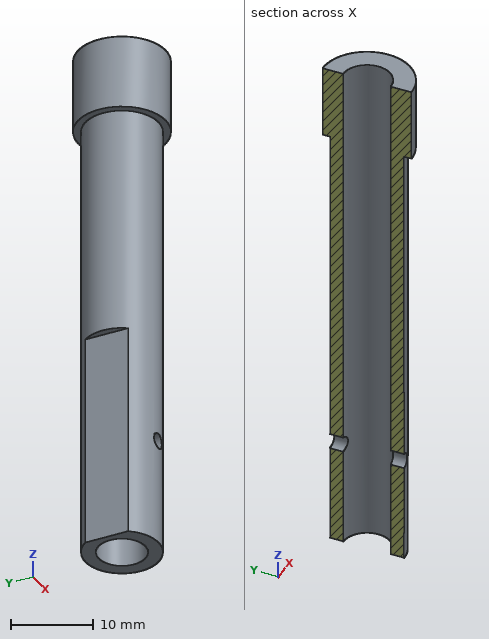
import cadquery as cq

total_length = 70.0
head_diameter = 12.0
head_length = 10.0
shank_diameter = 10.0
bore_diameter = 6.4
flat_length = 29.0
flat_offset = 4.05
pin_hole_diameter = 2.0
pin_hole_height = flat_length / 2


def make_body():
    """Round shank with a larger head at the top."""
    shank = cq.Workplane("XY").circle(shank_diameter / 2).extrude(total_length)
    head = (
        cq.Workplane("XY")
        .workplane(offset=total_length - head_length)
        .circle(head_diameter / 2)
        .extrude(head_length)
    )
    return shank.union(head)


def make_bore():
    """Axial bore through the full length."""
    return cq.Workplane("XY").circle(bore_diameter / 2).extrude(total_length)


def make_flat_cutter():
    """Block that removes the -X side of the lower shank."""
    return cq.Workplane("XY").box(
        shank_diameter, shank_diameter, flat_length, centered=(True, True, False)
    ).translate((-flat_offset - shank_diameter / 2, 0, 0))


def make_pin_hole():
    """Cross hole along Y through both walls of the shank."""
    return (
        cq.Workplane("XZ")
        .center(0, pin_hole_height)
        .circle(pin_hole_diameter / 2)
        .extrude(shank_diameter, both=True)
    )


result = make_body().cut(make_bore()).cut(make_flat_cutter()).cut(make_pin_hole())